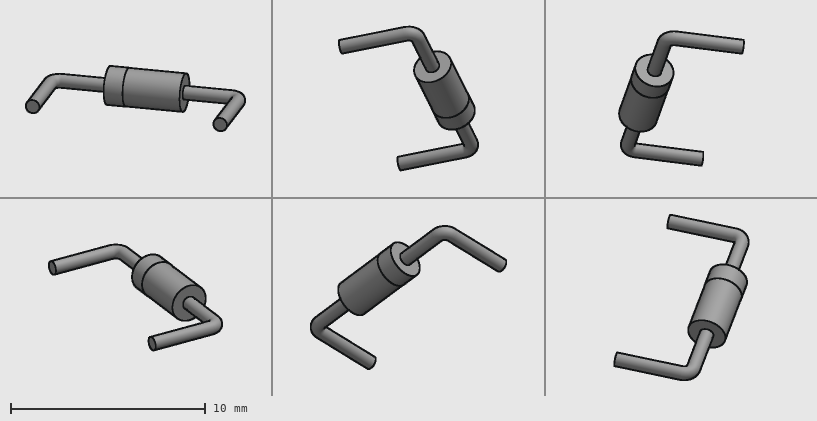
import cadquery as cq

span = 10.71
lead_diameter = 0.73
bend_radius = 0.5
lead_end_y = -4.0

body_diameter = 2.0
body_length = 4.04
band_diameter = 2.02
band_length = 1.01

lead_axis_x = (span - lead_diameter) / 2
body_end_x = body_length / 2


def bent_lead(side):
    """Round wire from the body end face, bent a quarter turn toward -Y; side is -1 or 1."""
    inner_x = side * body_end_x
    outer_x = side * lead_axis_x
    bend_start_x = side * (lead_axis_x - bend_radius)
    bend_mid = bend_radius * 0.5**0.5
    path = (
        cq.Workplane("XY")
        .moveTo(inner_x, 0)
        .lineTo(bend_start_x, 0)
        .threePointArc(
            (bend_start_x + side * bend_mid, bend_mid - bend_radius),
            (outer_x, -bend_radius),
        )
        .lineTo(outer_x, lead_end_y)
    )
    return cq.Workplane("YZ", origin=(inner_x, 0, 0)).circle(lead_diameter / 2).sweep(path)


body_end_plane = cq.Workplane("YZ", origin=(-body_end_x, 0, 0))

body = body_end_plane.circle(body_diameter / 2).extrude(body_length)

cathode_band = (
    body_end_plane.circle(band_diameter / 2).circle(body_diameter / 2).extrude(band_length)
)

leads = [bent_lead(side) for side in (-1, 1)]

result = cq.Compound.makeCompound(
    [body.val(), cathode_band.val(), *[lead.val() for lead in leads]]
)